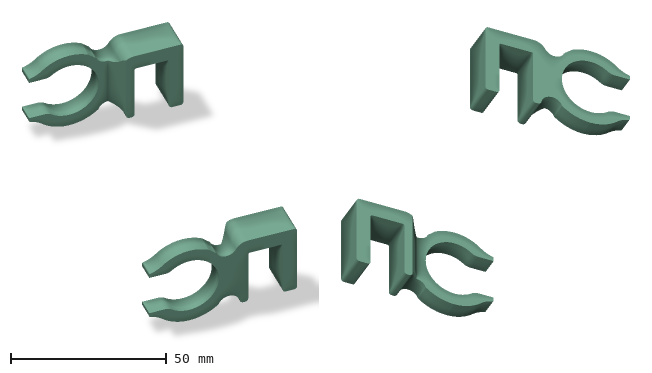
import cadquery as cq
import math

span = 111.5
total_depth = 51.0

hook_width = 12.0
ring_width = 6.2
taper_start = 19.7
taper_end = 23.7

hook_half_height = 12.6
slot_back = 4.9
slot_front = 16.8
slot_top = 7.4
corner_radius = 1.0
slot_radius = 0.6
shoulder_start = 17.0

groove_radius = 3.9
top_groove_depth = 24.4
top_groove_height = 8.4
groove_entry_angle = math.radians(57)
top_groove_end = (27.4, 9.9)
neck_corner = (28.4, 11.2)
neck_corner_bulge = (27.8, 10.6)
neck_blend_end_depth = 30.4
bottom_groove_depth = 23.5
bottom_groove_height = -8.5
bottom_groove_start = (19.7, -11.6)
bottom_groove_end_depth = 26.8
leg_tip_front = 18.7

ring_center = 37.1
outer_radius = 14.5
inner_radius = 10.1
ring_root = (27.1, -10.9)
mouth_half_gap = 7.4
mouth_blend_radius = 3.9
ring_end_depth = 46.7
lip_radius = 0.5
lip_end = (total_depth - lip_radius, 9.0)
lip_hollow = (48.4, 9.8)


def circle_height(center_depth, center_height, radius, depth, side):
    """Height of a circle at the given depth, above (side=1) or below (side=-1) its center."""
    return center_height + side * math.sqrt(radius**2 - (depth - center_depth) ** 2)


def mirrored(point):
    """Reflect a profile point across the ring axis."""
    return (point[0], -point[1])


def place(point):
    """Turn (depth, height) into sketch (Y, Z), with the profile centered along Y."""
    return (total_depth / 2 - point[0], point[1])


def clip_profile():
    """Sketch of hook, neck and snap ring; small hook corners are rounded later."""
    groove_center_height = top_groove_height + groove_radius
    inflection = (
        top_groove_depth - groove_radius * math.sin(groove_entry_angle),
        groove_center_height - groove_radius * math.cos(groove_entry_angle),
    )
    neck_blend_end = (
        neck_blend_end_depth,
        circle_height(ring_center, 0, outer_radius, neck_blend_end_depth, 1),
    )
    ring_end = (ring_end_depth, circle_height(ring_center, 0, outer_radius, ring_end_depth, 1))
    lip_tip = (total_depth, lip_end[1] - lip_radius)
    diagonal = lip_radius * math.sqrt(0.5)
    lip_round = (lip_end[0] + diagonal, lip_tip[1] + diagonal)
    mouth_tip = (total_depth, mouth_half_gap)

    blend_reach = inner_radius + mouth_blend_radius
    blend_height = mouth_half_gap + mouth_blend_radius
    blend_offset = math.sqrt(blend_reach**2 - blend_height**2)
    flat_start = (ring_center + blend_offset, mouth_half_gap)
    bore_end = (
        ring_center + blend_offset * inner_radius / blend_reach,
        blend_height * inner_radius / blend_reach,
    )
    bore_back = (ring_center - inner_radius, 0)

    root_run = ring_center - ring_root[0]
    root_rise = outer_radius + ring_root[1]
    root_radius = (root_run**2 + root_rise**2) / (2 * root_rise)
    root_mid_depth = (ring_root[0] + ring_center) / 2
    root_mid = (
        root_mid_depth,
        circle_height(ring_center, root_radius - outer_radius, root_radius, root_mid_depth, -1),
    )
    bottom_groove_end = (
        bottom_groove_end_depth,
        circle_height(
            bottom_groove_depth,
            bottom_groove_height - groove_radius,
            groove_radius,
            bottom_groove_end_depth,
            1,
        ),
    )
    lower_mid_depth = (ring_center + ring_end_depth) / 2
    lower_mid = (lower_mid_depth, circle_height(ring_center, 0, outer_radius, lower_mid_depth, -1))

    sketch = cq.Workplane("YZ").moveTo(*place((0, hook_half_height)))

    sketch = sketch.lineTo(*place((shoulder_start, hook_half_height)))
    sketch = sketch.tangentArcPoint(place(inflection), relative=False)
    sketch = sketch.threePointArc(place((top_groove_depth, top_groove_height)), place(top_groove_end))
    sketch = sketch.threePointArc(place(neck_corner_bulge), place(neck_corner))
    sketch = sketch.lineTo(*place(neck_blend_end))
    sketch = sketch.threePointArc(place((ring_center, outer_radius)), place(ring_end))
    sketch = sketch.threePointArc(place(lip_hollow), place(lip_end))
    sketch = sketch.threePointArc(place(lip_round), place(lip_tip))

    sketch = sketch.lineTo(*place(mouth_tip))
    sketch = sketch.lineTo(*place(flat_start))
    sketch = sketch.tangentArcPoint(place(bore_end), relative=False)
    sketch = sketch.threePointArc(place(bore_back), place(mirrored(bore_end)))
    sketch = sketch.tangentArcPoint(place(mirrored(flat_start)), relative=False)
    sketch = sketch.lineTo(*place(mirrored(mouth_tip)))

    sketch = sketch.lineTo(*place(mirrored(lip_tip)))
    sketch = sketch.threePointArc(place(mirrored(lip_round)), place(mirrored(lip_end)))
    sketch = sketch.threePointArc(place(mirrored(lip_hollow)), place(mirrored(ring_end)))
    sketch = sketch.threePointArc(place(lower_mid), place((ring_center, -outer_radius)))
    sketch = sketch.threePointArc(place(root_mid), place(ring_root))
    sketch = sketch.lineTo(*place(bottom_groove_end))
    sketch = sketch.threePointArc(
        place((bottom_groove_depth, bottom_groove_height)), place(bottom_groove_start)
    )
    sketch = sketch.tangentArcPoint(place((leg_tip_front, -hook_half_height)), relative=False)

    sketch = sketch.lineTo(*place((slot_front, -hook_half_height)))
    sketch = sketch.lineTo(*place((slot_front, slot_top)))
    sketch = sketch.lineTo(*place((slot_back, slot_top)))
    sketch = sketch.lineTo(*place((slot_back, -hook_half_height)))
    sketch = sketch.lineTo(*place((0, -hook_half_height)))
    return sketch.close()


def round_corners(body, points, radius):
    """Fillet the X-direction edges that pass through the given profile points."""
    for point in points:
        y, z = place(point)
        body = body.edges(cq.selectors.NearestToPointSelector((hook_width / 2, y, z))).fillet(radius)
    return body


def ring_relief():
    """Volume that thins the ring and tapers the neck on the inner side."""
    overcut = 1.1
    past_depth = total_depth + overcut
    past_width = hook_width + overcut
    outline = [
        (hook_width, taper_start),
        (ring_width, taper_end),
        (ring_width, past_depth),
        (past_width, past_depth),
        (past_width, taper_start),
    ]
    height = outer_radius + overcut
    points = [(x, total_depth / 2 - depth) for x, depth in outline]
    return cq.Workplane("XY").polyline(points).close().extrude(height, both=True)


def make_clip():
    """Left clip with its outer face on X = 0."""
    body = clip_profile().extrude(hook_width)
    outer_corners = [
        (0, hook_half_height),
        (0, -hook_half_height),
        (slot_back, -hook_half_height),
        (slot_front, -hook_half_height),
    ]
    slot_corners = [(slot_back, slot_top), (slot_front, slot_top)]
    body = round_corners(body, outer_corners, corner_radius)
    body = round_corners(body, slot_corners, slot_radius)
    return body.cut(ring_relief())


clips = []
for side in (-1, 1):
    clip = make_clip().translate((-span / 2, 0, 0))
    if side > 0:
        clip = clip.mirror("YZ")
    clips.append(clip.val())

result = cq.Compound.makeCompound(clips)